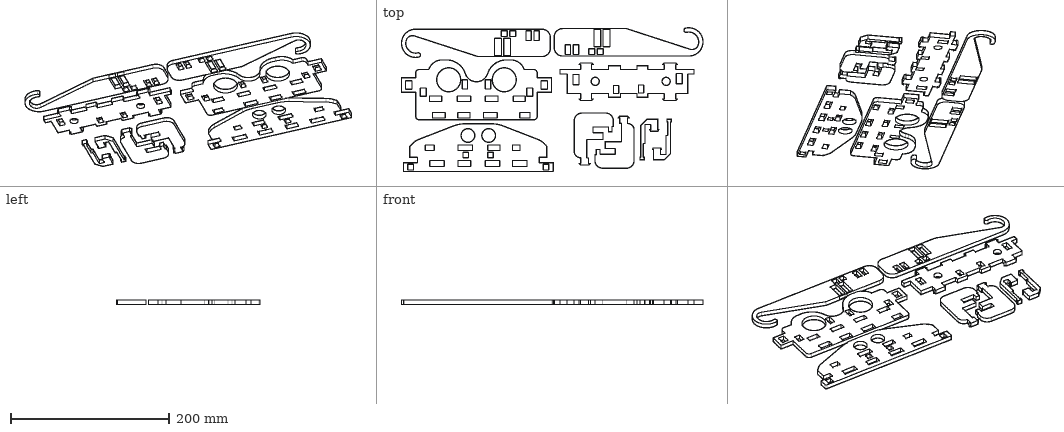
import cadquery as cq
import math


SHEET_THICKNESS = 6.03
SHEET_LENGTH = 381.24

ARM_PLACE = (0, 145.2)
FRAME_PLACE = (0, 65.3)
BASE_PLACE = (2.4, 0)
CROSS_PLACE = (200.1, 89.8)
CLAMP_PLACE = (218.2, 8.2)
HOOK_PLACE = (301.2, 14.8)

ARM_PAIR_CENTRE = (SHEET_LENGTH / 2, 163.07)
CLAMP_PAIR_CENTRE = (256.2, 39.2)
HOOK_PAIR_CENTRE = (321.2, 40.6)
HALF_TURN = 180



def block(x_min, x_max, y_min, y_max):
    """Rectangle as thick as the sheet."""
    size = (x_max - x_min, y_max - y_min, SHEET_THICKNESS)
    return cq.Workplane("XY").box(*size, centered=False).translate((x_min, y_min, 0))


def cut_windows(plate, centres, width, height):
    """Cut one rectangular window of the given size at every centre."""
    windows = cq.Workplane("XY").pushPoints(centres).rect(width, height).extrude(SHEET_THICKNESS)
    return plate.cut(windows)


def cut_slot_row(plate, slots, row_y, height):
    """Cut a row of slots, each given as its centre in X and its length."""
    for centre_x, length in slots:
        plate = cut_windows(plate, [(centre_x, row_y)], length, height)
    return plate


def cut_round_holes(plate, centres, diameter):
    holes = cq.Workplane("XY").pushPoints(centres).circle(diameter / 2).extrude(SHEET_THICKNESS)
    return plate.cut(holes)


def both_sides(axis_x, offset, y):
    """Two points at equal offsets left and right of an axis."""
    return [(axis_x - offset, y), (axis_x + offset, y)]


def round_corners(plate, corners, radius):
    """Round the upright edge nearest to every given corner."""
    for x, y in corners:
        nearest = cq.selectors.NearestToPointSelector((x, y, SHEET_THICKNESS / 2))
        plate = plate.edges("|Z").edges(nearest).fillet(radius)
    return plate


def add_barbs(plate, left, right, tip_y, inward, reach, depth):
    """Add a triangular snap barb on both sides of a tab's end; inward is +1 or -1 along Y."""
    back_y = tip_y + inward * depth
    for edge_x, outward in ((left, -1), (right, 1)):
        corners = [(edge_x, tip_y), (edge_x + outward * reach, back_y), (edge_x, back_y)]
        plate = plate.union(cq.Workplane("XY").polyline(corners).close().extrude(SHEET_THICKNESS))
    return plate


def on_circle(centre, radius, degrees):
    angle = math.radians(degrees)
    return (centre[0] + radius * math.cos(angle), centre[1] + radius * math.sin(angle))


def place(plate, position):
    return plate.translate((position[0], position[1], 0))


def place_pair(plate, position, pair_centre):
    """Place a plate and a second copy turned half a turn about the pair's centre."""
    first = place(plate, position)
    axis_start = (*pair_centre, 0)
    axis_end = (*pair_centre, 1)
    return [first.rotate(axis_start, axis_end, angle) for angle in (0, HALF_TURN)]



ARM_LENGTH = 188.35
ARM_HEIGHT = 35
ARM_CORNER_RADIUS = 11

RING_OUTER_RADIUS = 18
RING_INNER_RADIUS = 12.3
RING_CENTRE = (RING_OUTER_RADIUS, ARM_HEIGHT - RING_OUTER_RADIUS)
RING_TIP_ANGLE = 283

THROAT_RADIUS = 8
THROAT_ANGLE = 159
ARM_SLOPE = 18

ARM_WINDOW_TOP = 32.8
ARM_SQUARE = 7.1
ARM_SQUARE_XS = (130, 140.7)
ARM_NOTCH_SIZE = (6.5, 12.2)
ARM_NOTCH_XS = (160.7, 170.9)
ARM_LONG_SLOT_SIZE = (8.5, 21.6)
ARM_LONG_SLOT_XS = (122.2, 133.6)
ARM_LONG_SLOT_BOTTOM = 1.5


def make_hook_arm():
    ring_middle = (RING_OUTER_RADIUS + RING_INNER_RADIUS) / 2
    tip_radius = (RING_OUTER_RADIUS - RING_INNER_RADIUS) / 2
    tip_centre = on_circle(RING_CENTRE, ring_middle, RING_TIP_ANGLE)
    throat_centre = on_circle(RING_CENTRE, RING_INNER_RADIUS - THROAT_RADIUS, THROAT_ANGLE)
    slope_normal = 90 - ARM_SLOPE
    slope_start = on_circle(throat_centre, THROAT_RADIUS, slope_normal)
    slope_end_x = slope_start[0] + slope_start[1] / math.tan(math.radians(ARM_SLOPE))
    ring_middle_angle = (THROAT_ANGLE + RING_TIP_ANGLE) / 2

    outline = (
        cq.Workplane("XY")
        .moveTo(slope_end_x, 0)
        .lineTo(ARM_LENGTH, 0)
        .lineTo(ARM_LENGTH, ARM_HEIGHT)
        .lineTo(RING_CENTRE[0], ARM_HEIGHT)
        .threePointArc(
            on_circle(RING_CENTRE, RING_OUTER_RADIUS, 180),
            on_circle(RING_CENTRE, RING_OUTER_RADIUS, RING_TIP_ANGLE),
        )
        .threePointArc(
            on_circle(tip_centre, tip_radius, RING_TIP_ANGLE + 90),
            on_circle(RING_CENTRE, RING_INNER_RADIUS, RING_TIP_ANGLE),
        )
        .threePointArc(
            on_circle(RING_CENTRE, RING_INNER_RADIUS, ring_middle_angle),
            on_circle(RING_CENTRE, RING_INNER_RADIUS, THROAT_ANGLE),
        )
        .threePointArc(
            on_circle(throat_centre, THROAT_RADIUS, (THROAT_ANGLE + slope_normal) / 2),
            slope_start,
        )
        .close()
    )
    arm = outline.extrude(SHEET_THICKNESS)
    arm = arm.edges("|Z and >X").fillet(ARM_CORNER_RADIUS)

    square_y = ARM_WINDOW_TOP - ARM_SQUARE / 2
    arm = cut_windows(arm, [(x, square_y) for x in ARM_SQUARE_XS], ARM_SQUARE, ARM_SQUARE)
    notch_y = ARM_WINDOW_TOP - ARM_NOTCH_SIZE[1] / 2
    arm = cut_windows(arm, [(x, notch_y) for x in ARM_NOTCH_XS], *ARM_NOTCH_SIZE)
    long_slot_y = ARM_LONG_SLOT_BOTTOM + ARM_LONG_SLOT_SIZE[1] / 2
    return cut_windows(arm, [(x, long_slot_y) for x in ARM_LONG_SLOT_XS], *ARM_LONG_SLOT_SIZE)



FRAME_LENGTH = 189.7
FRAME_BODY_LENGTH = 154
FRAME_SHOULDER = 64
FRAME_CORNER_RADIUS = 5
FRAME_AXIS = FRAME_LENGTH / 2

EAR_BOTTOM = 34.85
EAR_TOP = 53.6
EAR_WINDOW_SIZE = (8, 10.3)
EAR_WINDOW_OFFSET = 85.6

LOBE_FOOT_OFFSET = 60.3
LOBE_OUTER_MIDDLE = (55.2, 71.6)
LOBE_TOP = (41.5, 75.9)
LOBE_INNER_MIDDLE = (26, 73)
LOBE_END = (15.8, 63)
VALLEY_START = (14.1, 59)
VALLEY_FLOOR = 48.4

LENS_DIAMETER = 30
LENS_OFFSET = 35.1
LENS_Y = 50.8

NOSE_SLOT_SIZE = (6.4, 11.4)
NOSE_SLOT_OFFSET = 14.6
NOSE_SLOT_Y = 45.1
SIDE_SLOT_SIZE = (7.3, 10.3)
SIDE_SLOT_OFFSET = 67.3
SIDE_SLOT_Y = 35.2

FRAME_SLOT_HEIGHT = 6.6
FRAME_UPPER_SLOTS = ((43.3, 15), (79, 16.8), (114, 16), (149, 14.8))
FRAME_UPPER_ROW_Y = 26.8
FRAME_LOWER_SLOTS = ((47.4, 16), (79, 15), (112.3, 17), (156, 12.8))
FRAME_LOWER_ROW_Y = 5.9


def make_twin_hole_frame():
    body_half = FRAME_BODY_LENGTH / 2

    def left(point):
        return (FRAME_AXIS - point[0], point[1])

    def right(point):
        return (FRAME_AXIS + point[0], point[1])

    lobe_foot = (LOBE_FOOT_OFFSET, FRAME_SHOULDER)
    plate = (
        cq.Workplane("XY")
        .moveTo(*left((body_half, 0)))
        .lineTo(*left((body_half, FRAME_SHOULDER)))
        .lineTo(*left(lobe_foot))
        .threePointArc(left(LOBE_OUTER_MIDDLE), left(LOBE_TOP))
        .threePointArc(left(LOBE_INNER_MIDDLE), left(LOBE_END))
        .lineTo(*left(VALLEY_START))
        .threePointArc((FRAME_AXIS, VALLEY_FLOOR), right(VALLEY_START))
        .lineTo(*right(LOBE_END))
        .threePointArc(right(LOBE_INNER_MIDDLE), right(LOBE_TOP))
        .threePointArc(right(LOBE_OUTER_MIDDLE), right(lobe_foot))
        .lineTo(*right((body_half, FRAME_SHOULDER)))
        .lineTo(*right((body_half, 0)))
        .close()
        .extrude(SHEET_THICKNESS)
    )
    for corner_y in (0, FRAME_SHOULDER):
        plate = round_corners(plate, both_sides(FRAME_AXIS, body_half, corner_y), FRAME_CORNER_RADIUS)

    plate = plate.union(block(0, FRAME_AXIS - body_half, EAR_BOTTOM, EAR_TOP))
    plate = plate.union(block(FRAME_AXIS + body_half, FRAME_LENGTH, EAR_BOTTOM, EAR_TOP))

    lenses = both_sides(FRAME_AXIS, LENS_OFFSET, LENS_Y)
    ear_windows = both_sides(FRAME_AXIS, EAR_WINDOW_OFFSET, (EAR_BOTTOM + EAR_TOP) / 2)
    nose_slots = both_sides(FRAME_AXIS, NOSE_SLOT_OFFSET, NOSE_SLOT_Y)
    side_slots = both_sides(FRAME_AXIS, SIDE_SLOT_OFFSET, SIDE_SLOT_Y)
    plate = cut_round_holes(plate, lenses, LENS_DIAMETER)
    plate = cut_windows(plate, ear_windows, *EAR_WINDOW_SIZE)
    plate = cut_windows(plate, nose_slots, *NOSE_SLOT_SIZE)
    plate = cut_windows(plate, side_slots, *SIDE_SLOT_SIZE)
    plate = cut_slot_row(plate, FRAME_UPPER_SLOTS, FRAME_UPPER_ROW_Y, FRAME_SLOT_HEIGHT)
    return cut_slot_row(plate, FRAME_LOWER_SLOTS, FRAME_LOWER_ROW_Y, FRAME_SLOT_HEIGHT)



BASE_LENGTH = 189.6
BASE_HEIGHT = 60.7
BASE_AXIS = BASE_LENGTH / 2
BASE_TOP_HALF = 24.2
BASE_TOP_ROUNDING = 40
BASE_EAVE_HALF = 79.6
BASE_EAVE_Y = 39.2
BASE_EAVE_ROUNDING = 22
BASE_WALL_HALF = 86.7
BASE_WALL_TOP = 32
BASE_WALL_BOTTOM = 18.1
BASE_WAIST_HALF = 77
LUG_HEIGHT = 11.5
LUG_CORNER_RADIUS = 1.5

BASE_HOLE_DIAMETER = 17
BASE_HOLE_OFFSET = 13.1
BASE_HOLE_Y = 45.7
LUG_WINDOW = 6.9
LUG_WINDOW_OFFSET = 85.5
LUG_WINDOW_Y = 5.7
BASE_SQUARE = 6.7
BASE_SQUARE_CENTRES = ((78.9, 21), (110.3, 21))

BASE_UPPER_SLOTS = ((33.5, 11), (78.3, 18), (114.5, 15), (142.7, 9.2))
BASE_UPPER_ROW_Y = 30.1
BASE_UPPER_SLOT_HEIGHT = 6.6
BASE_LOWER_SLOTS = ((42.7, 18), (77.1, 15.8), (112.7, 18), (147.2, 18))
BASE_LOWER_ROW_Y = 10.3
BASE_LOWER_SLOT_HEIGHT = 7.2


def make_base_plate():
    right_side = [
        (BASE_AXIS, 0),
        (BASE_AXIS, LUG_HEIGHT),
        (BASE_WAIST_HALF, LUG_HEIGHT),
        (BASE_WAIST_HALF, BASE_WALL_BOTTOM),
        (BASE_WALL_HALF, BASE_WALL_BOTTOM),
        (BASE_WALL_HALF, BASE_WALL_TOP),
        (BASE_EAVE_HALF, BASE_EAVE_Y),
        (BASE_TOP_HALF, BASE_HEIGHT),
    ]
    left_side = [(-x, y) for x, y in reversed(right_side)]
    plate = cq.Workplane("XY").polyline(right_side + left_side).close().extrude(SHEET_THICKNESS)

    plate = round_corners(plate, both_sides(0, BASE_TOP_HALF, BASE_HEIGHT), BASE_TOP_ROUNDING)
    plate = round_corners(plate, both_sides(0, BASE_EAVE_HALF, BASE_EAVE_Y), BASE_EAVE_ROUNDING)
    plate = round_corners(plate, both_sides(0, BASE_AXIS, 0), LUG_CORNER_RADIUS)
    plate = plate.translate((BASE_AXIS, 0, 0))

    holes = both_sides(BASE_AXIS, BASE_HOLE_OFFSET, BASE_HOLE_Y)
    plate = cut_round_holes(plate, holes, BASE_HOLE_DIAMETER)
    lug_windows = both_sides(BASE_AXIS, LUG_WINDOW_OFFSET, LUG_WINDOW_Y)
    plate = cut_windows(plate, lug_windows, LUG_WINDOW, LUG_WINDOW)
    plate = cut_windows(plate, BASE_SQUARE_CENTRES, BASE_SQUARE, BASE_SQUARE)
    plate = cut_slot_row(plate, BASE_UPPER_SLOTS, BASE_UPPER_ROW_Y, BASE_UPPER_SLOT_HEIGHT)
    return cut_slot_row(plate, BASE_LOWER_SLOTS, BASE_LOWER_ROW_Y, BASE_LOWER_SLOT_HEIGHT)



CROSS_LENGTH = 169.8
CROSS_HEIGHT = 47.7
CROSS_BODY_LEFT = 9.4
CROSS_BODY_RIGHT = 161.8
CROSS_BODY_BOTTOM = 8.8
CROSS_BODY_TOP = 39.6
CROSS_ARM_BOTTOM = 33.4
BARBED_TABS = ((26.4, 40.2), (132, 146.6))
PLAIN_TABS = ((61.4, 76.8), (97.4, 111.2))
PLAIN_TAB_BOTTOM = 4.2
PLAIN_TAB_TOP = 44.2
BARB_REACH = 2.2
BARB_DEPTH = 2.2

CROSS_HOLE_DIAMETER = 10
CROSS_HOLE_CENTRES = ((44.8, 24.3), (134.4, 24.3))
CROSS_TALL_SLOT_SIZE = (7.3, 12.6)
CROSS_TALL_SLOT_CENTRES = ((20.6, 26.6), (151, 27.7))
CROSS_SHORT_SLOT_SIZE = (6.4, 9.8)
CROSS_SHORT_SLOT_CENTRES = ((71.2, 14), (102.8, 14.5))


def make_cross_plate():
    plate = block(CROSS_BODY_LEFT, CROSS_BODY_RIGHT, CROSS_BODY_BOTTOM, CROSS_BODY_TOP)
    plate = plate.union(block(0, CROSS_LENGTH, CROSS_ARM_BOTTOM, CROSS_BODY_TOP))
    for left, right in PLAIN_TABS:
        plate = plate.union(block(left, right, PLAIN_TAB_BOTTOM, PLAIN_TAB_TOP))
    for left, right in BARBED_TABS:
        plate = plate.union(block(left, right, 0, CROSS_HEIGHT))
        plate = add_barbs(plate, left, right, 0, 1, BARB_REACH, BARB_DEPTH)
        plate = add_barbs(plate, left, right, CROSS_HEIGHT, -1, BARB_REACH, BARB_DEPTH)

    plate = cut_round_holes(plate, CROSS_HOLE_CENTRES, CROSS_HOLE_DIAMETER)
    plate = cut_windows(plate, CROSS_TALL_SLOT_CENTRES, *CROSS_TALL_SLOT_SIZE)
    return cut_windows(plate, CROSS_SHORT_SLOT_CENTRES, *CROSS_SHORT_SLOT_SIZE)



CLAMP_WIDTH = 49.8
CLAMP_HEIGHT = 66
CLAMP_CORNER_RADIUS = 10
CLAMP_STEM_WIDTH = 16.1
CLAMP_FOOT_LEFT = 8.4
CLAMP_FOOT_RIGHT = 18.3
CLAMP_FOOT_TOP = 9.2
JAW_SHOULDER_Y = 48.7
JAW_OUTER_X = 48.2
JAW_INNER_X = 43.2
JAW_TIP_Y = 42.2
JAW_SLOT_X = 24.2
JAW_SLOT_TOP = 48
TONGUE_TOP = 41
TONGUE_BOTTOM = 32.3
TONGUE_END_X = 36.8


def make_clamp():
    shoulder_radius = CLAMP_FOOT_LEFT
    shoulder_centre = (shoulder_radius, CLAMP_FOOT_TOP + shoulder_radius)
    corner_left_centre = (CLAMP_CORNER_RADIUS, CLAMP_HEIGHT - CLAMP_CORNER_RADIUS)
    corner_right_centre = (CLAMP_WIDTH - CLAMP_CORNER_RADIUS, corner_left_centre[1])
    clamp = (
        cq.Workplane("XY")
        .moveTo(CLAMP_FOOT_LEFT, 0)
        .lineTo(CLAMP_FOOT_LEFT, CLAMP_FOOT_TOP)
        .threePointArc(on_circle(shoulder_centre, shoulder_radius, 225), (0, shoulder_centre[1]))
        .lineTo(0, corner_left_centre[1])
        .threePointArc(
            on_circle(corner_left_centre, CLAMP_CORNER_RADIUS, 135),
            (corner_left_centre[0], CLAMP_HEIGHT),
        )
        .lineTo(corner_right_centre[0], CLAMP_HEIGHT)
        .threePointArc(
            on_circle(corner_right_centre, CLAMP_CORNER_RADIUS, 45),
            (CLAMP_WIDTH, corner_right_centre[1]),
        )
        .lineTo(CLAMP_WIDTH, JAW_SHOULDER_Y)
        .lineTo(JAW_OUTER_X, JAW_SHOULDER_Y)
        .lineTo(JAW_OUTER_X, JAW_TIP_Y)
        .lineTo(JAW_INNER_X, JAW_TIP_Y)
        .lineTo(JAW_INNER_X, JAW_SLOT_TOP)
        .lineTo(JAW_SLOT_X, JAW_SLOT_TOP)
        .lineTo(JAW_SLOT_X, TONGUE_TOP)
        .lineTo(TONGUE_END_X, TONGUE_TOP)
        .lineTo(TONGUE_END_X, TONGUE_BOTTOM)
        .lineTo(CLAMP_STEM_WIDTH, TONGUE_BOTTOM)
        .lineTo(CLAMP_STEM_WIDTH, CLAMP_FOOT_TOP)
        .lineTo(CLAMP_FOOT_RIGHT, CLAMP_FOOT_TOP)
        .lineTo(CLAMP_FOOT_RIGHT, 0)
        .close()
        .extrude(SHEET_THICKNESS)
    )
    return add_barbs(clamp, CLAMP_FOOT_LEFT, CLAMP_FOOT_RIGHT, 0, 1, BARB_REACH, BARB_DEPTH)



HOOK_HEIGHT = 51.6
HOOK_FOOT_WIDTH = 5.8
HOOK_FOOT_HEIGHT = 3.5
HOOK_STEM_LEFT = 1.1
HOOK_LOWER_STEM_RIGHT = 4.7
HOOK_UPPER_STEM_RIGHT = 6.9
HOOK_STEM_STEP_Y = 20.7
HOOK_CHAMFER = 8
HOOK_RIGHT = 22.9
HOOK_END_LEFT = 13.7
HOOK_END_Y = 36.2
HOOK_UNDERSIDE_Y = 44.5
HOOK_BARB_REACH = 1.2
HOOK_BARB_DEPTH = 2.2


def make_small_hook():
    corners = [
        (0, 0),
        (0, HOOK_FOOT_HEIGHT),
        (HOOK_STEM_LEFT, HOOK_FOOT_HEIGHT),
        (HOOK_STEM_LEFT, HOOK_HEIGHT - HOOK_CHAMFER),
        (HOOK_STEM_LEFT + HOOK_CHAMFER, HOOK_HEIGHT),
        (HOOK_RIGHT, HOOK_HEIGHT),
        (HOOK_RIGHT, HOOK_END_Y),
        (HOOK_END_LEFT, HOOK_END_Y),
        (HOOK_END_LEFT, HOOK_UNDERSIDE_Y),
        (HOOK_UPPER_STEM_RIGHT, HOOK_UNDERSIDE_Y),
        (HOOK_UPPER_STEM_RIGHT, HOOK_STEM_STEP_Y),
        (HOOK_LOWER_STEM_RIGHT, HOOK_STEM_STEP_Y),
        (HOOK_LOWER_STEM_RIGHT, HOOK_FOOT_HEIGHT),
        (HOOK_FOOT_WIDTH, HOOK_FOOT_HEIGHT),
        (HOOK_FOOT_WIDTH, 0),
    ]
    hook = cq.Workplane("XY").polyline(corners).close().extrude(SHEET_THICKNESS)
    return add_barbs(hook, HOOK_END_LEFT, HOOK_RIGHT, HOOK_END_Y, 1, HOOK_BARB_REACH, HOOK_BARB_DEPTH)



hook_arms = place_pair(make_hook_arm(), ARM_PLACE, ARM_PAIR_CENTRE)
twin_hole_frame = place(make_twin_hole_frame(), FRAME_PLACE)
base_plate = place(make_base_plate(), BASE_PLACE)
cross_plate = place(make_cross_plate(), CROSS_PLACE)
clamps = place_pair(make_clamp(), CLAMP_PLACE, CLAMP_PAIR_CENTRE)
small_hooks = place_pair(make_small_hook(), HOOK_PLACE, HOOK_PAIR_CENTRE)

plates = [*hook_arms, twin_hole_frame, base_plate, cross_plate, *clamps, *small_hooks]
result = cq.Compound.makeCompound([plate.val() for plate in plates])